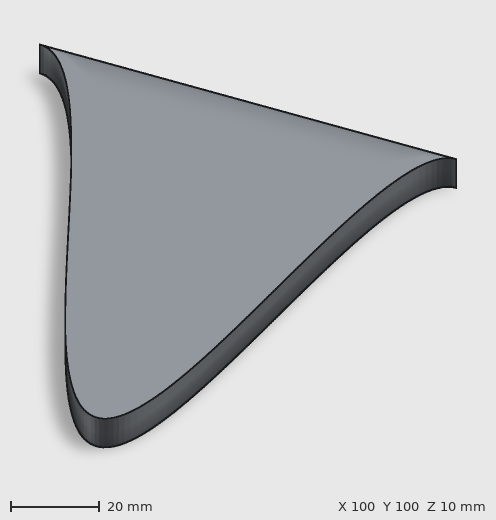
import cadquery as cq
import math

width = 100.0
depth = 100.0
thickness = 10.0
facet_count = 99


def wave_point(index):
    """Point on one cosine period: zero at both ends, deepest (towards -Y) in the middle."""
    fraction = index / facet_count
    x = width * (fraction - 0.5)
    y = -depth / 2 * (1 - math.cos(2 * math.pi * fraction))
    return (x, y)


wave = [wave_point(index) for index in range(facet_count + 1)]

result = cq.Workplane("XY").polyline(wave).close().extrude(thickness)